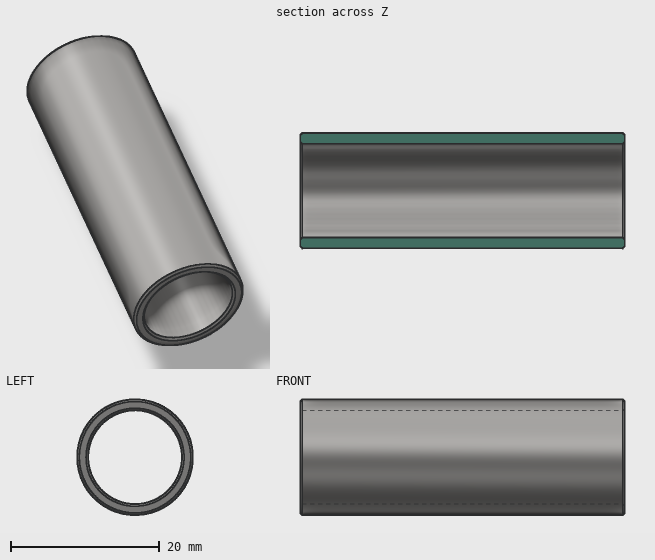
import cadquery as cq

length = 43.75
outer_diameter = 15.6
bore_diameter = 12.6
edge_chamfer = 0.3

outer_radius = outer_diameter / 2
bore_radius = bore_diameter / 2
half_length = length / 2

wall_section = (
    cq.Workplane("XY")
    .moveTo(-half_length, bore_radius)
    .lineTo(-half_length, outer_radius)
    .lineTo(half_length, outer_radius)
    .lineTo(half_length, bore_radius)
    .close()
)

tube = wall_section.revolve(360, (0, 0, 0), (1, 0, 0))

result = tube.faces("<X or >X").edges().chamfer(edge_chamfer)